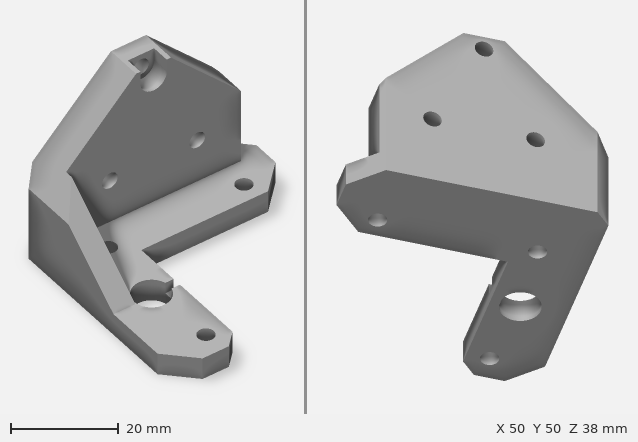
import cadquery as cq
import math

base_length = 50.0
base_thickness = 5.0
wall_leg_width = 18.0
rib_leg_width = 15.0
tip_chamfer = 6.0
small_chamfer = 3.0

wall_thickness = 8.0
wall_length = 45.0
wall_height = 38.0
wall_center_y = 25.0
wall_flat_width = 8.0

rib_thickness = 5.0
rib_end_x = 30.0
rib_slope_angle = 40.0

screw_diameter = 3.6
base_hole_x = 13.8
base_hole_y = 10.5
base_hole_spacing = 31.0
wall_hole_low_z = 15.0
wall_hole_spacing = 20.0

head_diameter = 6.0
head_seat_thickness = 4.0

passage_diameter = 8.0
passage_x = base_hole_x + base_hole_spacing / 2
passage_y = 9.2
groove_width = 2.0
groove_depth = base_thickness / 2

wall_hole_high_z = wall_hole_low_z + wall_hole_spacing


def footprint(height):
    """L-shaped prism with chamfered corners."""
    return (
        cq.Workplane("XY")
        .moveTo(small_chamfer, 0)
        .lineTo(base_length - tip_chamfer, 0)
        .lineTo(base_length, tip_chamfer)
        .lineTo(base_length, rib_leg_width - small_chamfer)
        .lineTo(base_length - small_chamfer, rib_leg_width)
        .lineTo(wall_leg_width, rib_leg_width)
        .lineTo(wall_leg_width, base_length - tip_chamfer)
        .lineTo(wall_leg_width - tip_chamfer, base_length)
        .lineTo(tip_chamfer, base_length)
        .lineTo(0, base_length - tip_chamfer)
        .lineTo(0, small_chamfer)
        .close()
        .extrude(height)
    )


def gable(length):
    """Wall silhouette in the YZ plane, extruded along +X."""
    peak_start = wall_center_y - wall_flat_width / 2
    peak_end = wall_center_y + wall_flat_width / 2
    return (
        cq.Workplane("YZ")
        .moveTo(0, 0)
        .lineTo(wall_length, 0)
        .lineTo(wall_length, wall_height - (wall_length - peak_end))
        .lineTo(peak_end, wall_height)
        .lineTo(peak_start, wall_height)
        .lineTo(0, wall_height - peak_start)
        .close()
        .extrude(length)
    )


def rib():
    """Rib sloping down to the base, its top cut by the gable's 45 degree side."""
    rise = rib_end_x * math.tan(math.radians(rib_slope_angle))
    profile = (
        cq.Workplane("XZ")
        .polyline([(0, 0), (rib_end_x, 0), (rib_end_x, base_thickness), (0, base_thickness + rise)])
        .close()
        .extrude(-rib_thickness)
    )
    return profile.intersect(gable(rib_end_x))


def base_holes():
    """Vertical screw holes at three corners of a square."""
    far_x = base_hole_x + base_hole_spacing
    far_y = base_hole_y + base_hole_spacing
    return (
        cq.Workplane("XY")
        .pushPoints([(base_hole_x, base_hole_y), (far_x, base_hole_y), (base_hole_x, far_y)])
        .circle(screw_diameter / 2)
        .extrude(base_thickness)
    )


def wall_holes():
    """Three horizontal screw holes through the wall."""
    half_spacing = wall_hole_spacing / 2
    return (
        cq.Workplane("YZ")
        .pushPoints([
            (wall_center_y - half_spacing, wall_hole_low_z),
            (wall_center_y + half_spacing, wall_hole_low_z),
            (wall_center_y, wall_hole_high_z),
        ])
        .circle(screw_diameter / 2)
        .extrude(wall_thickness)
    )


def head_recess():
    """Round-bottomed recess in the wall's inner face, open at the peak."""
    radius = head_diameter / 2
    return (
        cq.Workplane("YZ", origin=(head_seat_thickness, wall_center_y, wall_hole_high_z))
        .moveTo(-radius, 0)
        .threePointArc((0, -radius), (radius, 0))
        .lineTo(radius, wall_height - wall_hole_high_z)
        .lineTo(-radius, wall_height - wall_hole_high_z)
        .close()
        .extrude(wall_thickness - head_seat_thickness)
    )


def passage():
    """Vertical round passage through the base."""
    return (
        cq.Workplane("XY", origin=(passage_x, passage_y, 0))
        .circle(passage_diameter / 2)
        .extrude(base_thickness)
    )


def passage_groove():
    """Groove in the base's top face from the passage to the inner edge."""
    return (
        cq.Workplane("XY")
        .box(groove_width, rib_leg_width - passage_y, groove_depth, centered=(True, False, False))
        .translate((passage_x, passage_y, base_thickness - groove_depth))
    )


def groove_floor():
    """Web under the groove, ending flat on the chord where the groove meets the passage."""
    chord_offset = math.sqrt((passage_diameter / 2) ** 2 - (groove_width / 2) ** 2)
    chord_y = passage_y + chord_offset
    floor_length = rib_leg_width - chord_y
    floor_height = base_thickness - groove_depth
    return (
        cq.Workplane("XY")
        .box(groove_width, floor_length, floor_height, centered=(True, False, False))
        .translate((passage_x, chord_y, 0))
    )


wall = gable(wall_thickness)
uprights = wall.union(rib()).intersect(footprint(wall_height))

result = (
    footprint(base_thickness)
    .union(uprights)
    .cut(base_holes())
    .cut(wall_holes())
    .cut(head_recess())
    .cut(passage())
    .cut(passage_groove())
    .union(groove_floor())
)